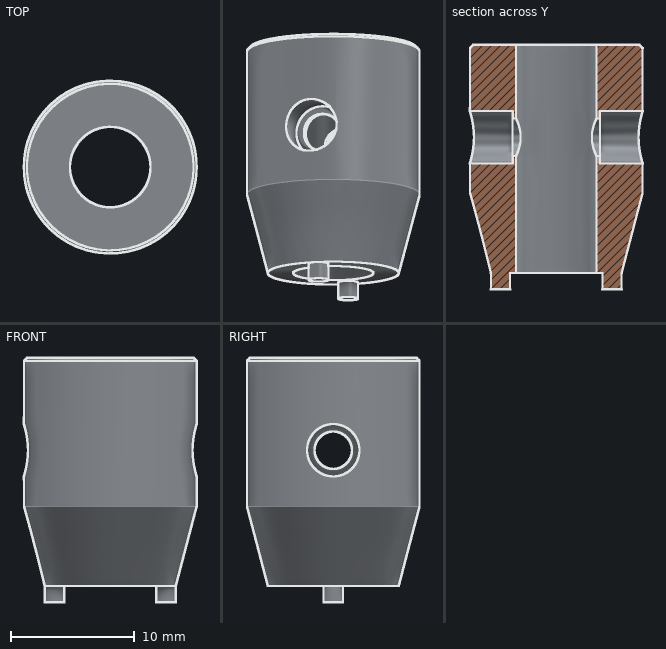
import cadquery as cq

total_height = 19.8
body_diameter = 14.0
bore_diameter = 6.5
top_chamfer = 0.25

pin_diameter = 1.6
pin_length = 1.33
nose_top_z = 7.78
nose_end_diameter = 10.61
pin_offset = (nose_end_diameter - pin_diameter) / 2

cross_hole_z = 12.32
counterbore_diameter = 4.24
narrow_hole_diameter = 3.0
counterbore_depth = 3.46

body_radius = body_diameter / 2


def make_body():
    """Turned body: tapered nose, straight barrel and chamfered top edge."""
    return (
        cq.Workplane("XZ")
        .moveTo(0, pin_length)
        .lineTo(nose_end_diameter / 2, pin_length)
        .lineTo(body_radius, nose_top_z)
        .lineTo(body_radius, total_height - top_chamfer)
        .lineTo(body_radius - top_chamfer, total_height)
        .lineTo(0, total_height)
        .close()
        .revolve(360, (0, 0, 0), (0, 1, 0))
    )


def cross_cylinder(diameter, start_x, end_x):
    """Cylinder along X at the height of the cross hole."""
    return (
        cq.Workplane("YZ", origin=(start_x, 0, cross_hole_z))
        .circle(diameter / 2)
        .extrude(end_x - start_x)
    )


pins = (
    cq.Workplane("XY")
    .pushPoints([(-pin_offset, 0), (pin_offset, 0)])
    .circle(pin_diameter / 2)
    .extrude(pin_length)
)
bore = cq.Workplane("XY").circle(bore_diameter / 2).extrude(total_height)

result = make_body().union(pins).cut(bore).cut(cross_cylinder(narrow_hole_diameter, -body_radius, body_radius))
for side in (-1, 1):
    floor_x = side * (body_radius - counterbore_depth)
    result = result.cut(cross_cylinder(counterbore_diameter, floor_x, side * body_radius))